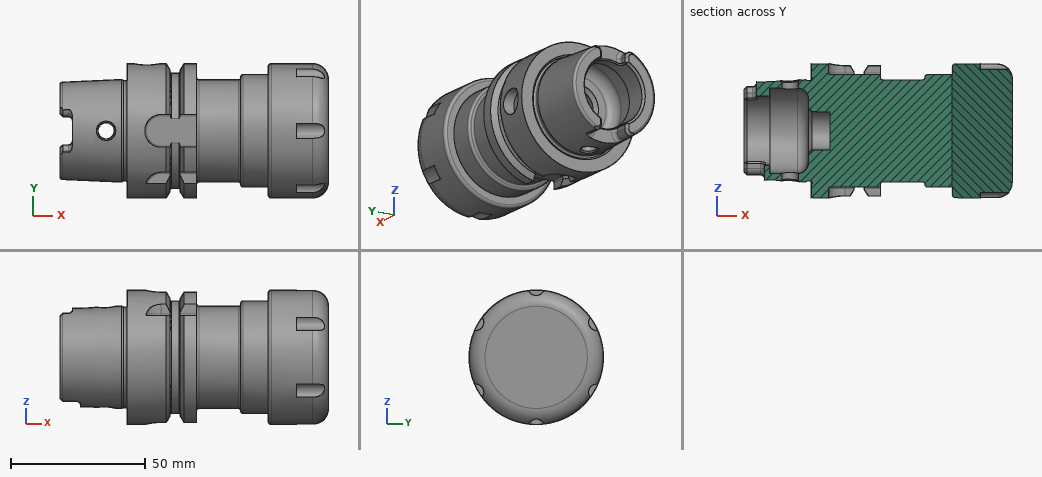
import cadquery as cq
import math

overall_length = 99.9
outer_radius = 50.0 / 2

shank_length = 25.0
shank_end_radius = 18.1
taper_slope = 0.045
shank_end_fillet = 1.0
relief_start = 23.0
relief_shoulder = 0.6
relief_radius = 18.8
undercut_radius = 0.8
undercut_depth = 0.4
undercut_width = 1.4

groove_center = 42.9
groove_width = 3.7
groove_radius = 21.5
groove_fillet = 0.5
groove_wall_radius = 22.7
groove_flank = 1.5
flange_end = 50.8

neck_radius = 19.1
neck_fillet = 0.8
collar_start = 67.2
collar_radius = 21.0
collar_fillet = 0.9

nut_start = 77.4
nut_rear_fillet = 1.2
nut_front_fillet = 6.0
nut_slot_count = 6
nut_slot_start = 87.9
nut_slot_radius = 3.0
nut_slot_floor_radius = 23.0

bore_radius = 12.8
bore_depth = 24.0
recess_start = 9.7
recess_radius = 15.8
bore_floor_fillet = 4.0
bore_mouth_widening = 0.8
bore_mouth_length = 1.1
bore_edge_chamfer = 0.5
center_hole_radius = 7.0
center_hole_chamfer = 1.4
center_hole_depth = 8.0

drive_slot_half_width = 5.2
drive_slot_flare_height = 14.0
drive_slot_flare_radius = 2.4
drive_slot_mouth_chamfer = 1.1
drive_slot_floor_fillet = 1.5
upper_drive_slot_depth = 4.6
lower_drive_slot_depth = 7.6

cross_hole_position = 17.2
cross_hole_radius = 3.0
cross_hole_chamfer = 0.6

floor_fillet = 0.5
key_slot_half_width = 6.1
key_slot_floor = 21.0
round_end_center = 37.7
notch_wall_y = -15.4
notch_floor_z = 15.6
notch_end_radius = 6.0
chip_hole_position = 32.4
chip_hole_radius = 5.0
chip_hole_depth = 4.6

tolerance = 0.01

half_turn = ((0, 0, 0), (1, 0, 0), 180)


def shank_radius(x):
    return shank_end_radius + taper_slope * x


def holder_blank():
    """Outside of the holder, without its bore and cuts."""
    relief_bottom = relief_start + relief_shoulder
    undercut_end = shank_length + undercut_depth
    groove_start = groove_center - groove_width / 2
    groove_end = groove_center + groove_width / 2
    profile = (
        cq.Workplane("XY")
        .lineTo(0, shank_end_radius)
        .lineTo(relief_start, shank_radius(relief_start))
        .lineTo(relief_bottom, relief_radius)
        .lineTo(undercut_end - undercut_radius, relief_radius)
        .radiusArc((undercut_end, relief_radius + undercut_radius), -undercut_radius)
        .lineTo(shank_length, relief_radius + undercut_width)
        .lineTo(shank_length, outer_radius)
        .lineTo(groove_start - groove_flank, outer_radius)
        .lineTo(groove_start, groove_wall_radius)
        .lineTo(groove_start, groove_radius)
        .lineTo(groove_end, groove_radius)
        .lineTo(groove_end, groove_wall_radius)
        .lineTo(groove_end + groove_flank, outer_radius)
        .lineTo(flange_end, outer_radius)
        .lineTo(flange_end, neck_radius)
        .lineTo(collar_start, neck_radius)
        .lineTo(collar_start, collar_radius)
        .lineTo(nut_start, collar_radius)
        .lineTo(nut_start, 0)
        .close()
    )
    blank = profile.revolve(360, (0, 0, 0), (1, 0, 0))
    rounded_rings = [
        (0, shank_end_radius, shank_end_fillet),
        (groove_start, groove_radius, groove_fillet),
        (groove_end, groove_radius, groove_fillet),
        (flange_end, neck_radius, neck_fillet),
        (collar_start, neck_radius, neck_fillet),
        (collar_start, collar_radius, collar_fillet),
    ]
    for x, radius, fillet in rounded_rings:
        ring = blank.edges().filter(lambda edge: is_ring(edge, x, radius))
        blank = ring.fillet(fillet)
    return blank


def is_ring(edge, x, radius):
    """True for the circular edge of this radius around the tool axis at x."""
    return (
        edge.geomType() == "CIRCLE"
        and abs(edge.Center().x - x) < tolerance
        and abs(edge.radius() - radius) < tolerance
    )


def shank_bore():
    """Bore with a wider clamping recess behind its mouth and a countersunk hole in its floor."""
    mouth = cq.Workplane("YZ").circle(bore_radius).extrude(recess_start)
    recess = (
        cq.Workplane("YZ", origin=(recess_start, 0, 0))
        .circle(recess_radius)
        .extrude(bore_depth - recess_start)
    )
    recess = recess.faces(">X").edges().fillet(bore_floor_fillet)
    hole = (
        cq.Workplane("YZ", origin=(bore_depth, 0, 0))
        .circle(center_hole_radius)
        .extrude(center_hole_depth)
    )
    hole_mouth = countersink(
        bore_depth,
        center_hole_radius + center_hole_chamfer,
        center_hole_radius,
        center_hole_chamfer,
    )
    return mouth.union(recess).union(hole).union(hole_mouth)


def countersink(x, start_radius, end_radius, length):
    """Cone around the tool axis that starts at x and narrows along +X."""
    solid = cq.Solid.makeCone(start_radius, end_radius, length, cq.Vector(x, 0, 0), cq.Vector(1, 0, 0))
    return cq.Workplane(solid)


def drive_slot_outline(x, widening):
    """Slot outline across the shank: straight walls that flare outwards in arcs."""
    half_width = drive_slot_half_width + widening
    flare = drive_slot_flare_radius - widening
    flare_end = half_width + flare
    diagonal = flare * math.sqrt(0.5)
    arc_y = flare_end - diagonal
    arc_z = drive_slot_flare_height + diagonal
    shoulder = drive_slot_flare_height + flare
    return (
        cq.Workplane("YZ", origin=(x, 0, 0))
        .moveTo(-half_width, 0)
        .lineTo(half_width, 0)
        .lineTo(half_width, drive_slot_flare_height)
        .threePointArc((arc_y, arc_z), (flare_end, shoulder))
        .lineTo(outer_radius, shoulder)
        .lineTo(outer_radius, outer_radius)
        .lineTo(-outer_radius, outer_radius)
        .lineTo(-outer_radius, shoulder)
        .lineTo(-flare_end, shoulder)
        .threePointArc((-arc_y, arc_z), (-half_width, drive_slot_flare_height))
        .close()
    )


def drive_slot(depth):
    """Slot through the upper shank wall, with a rounded floor corner and a chamfered mouth."""
    shoulder = drive_slot_flare_height + drive_slot_flare_radius
    slot = drive_slot_outline(0, 0).extrude(depth)
    floor_corner = slot.faces(">X").edges().filter(
        lambda edge: tolerance < edge.Center().z < shoulder + tolerance
    )
    slot = floor_corner.fillet(drive_slot_floor_fillet)
    mouth_wire = drive_slot_outline(0, drive_slot_mouth_chamfer).val()
    throat_wire = drive_slot_outline(drive_slot_mouth_chamfer, 0).val()
    mouth = cq.Solid.makeLoft([mouth_wire, throat_wire], True)
    return slot.union(cq.Workplane(mouth))


def cross_hole():
    """Hole along Z through both shank walls."""
    return (
        cq.Workplane("XY", origin=(cross_hole_position, 0, -outer_radius))
        .circle(cross_hole_radius)
        .extrude(2 * outer_radius)
    )


def key_slot():
    """Round-ended slot with a flat floor across the flange, open at the flange end."""
    run = flange_end - round_end_center
    slot = (
        cq.Workplane("XY", origin=(round_end_center, 0, key_slot_floor))
        .moveTo(0, -key_slot_half_width)
        .lineTo(run, -key_slot_half_width)
        .lineTo(run, key_slot_half_width)
        .lineTo(0, key_slot_half_width)
        .threePointArc((-key_slot_half_width, 0), (0, -key_slot_half_width))
        .close()
        .extrude(outer_radius)
    )
    return slot.faces("<Z").edges("not >X").fillet(floor_fillet)


def edge_notch():
    """Round-ended step cut along the flange rim, open at the flange end."""
    run = flange_end - round_end_center
    notch = (
        cq.Workplane("XY", origin=(round_end_center, notch_wall_y, notch_floor_z))
        .lineTo(run, 0)
        .lineTo(run, -2 * notch_end_radius)
        .lineTo(0, -2 * notch_end_radius)
        .threePointArc((-notch_end_radius, -notch_end_radius), (0, 0))
        .close()
        .extrude(outer_radius)
    )
    return notch.faces("<Z").edges("not >X").fillet(floor_fillet)


def chip_hole():
    """Round blind hole in the +Y side of the flange."""
    return (
        cq.Workplane("XZ", origin=(chip_hole_position, outer_radius, 0))
        .circle(chip_hole_radius)
        .extrude(chip_hole_depth)
    )


def edge_points(edge):
    return [edge.positionAt(fraction) for fraction in (0, 0.25, 0.5, 0.75)]


def is_slot_bore_edge(edge):
    """True for the edges along which the drive slots meet the bore."""
    on_bore = all(
        abs(math.hypot(point.y, point.z) - bore_radius) < tolerance for point in edge_points(edge)
    )
    return on_bore and tolerance < edge.Center().x < recess_start - tolerance


def is_cross_hole_mouth(edge):
    """True for the edges along which the cross hole meets the outside of the shank."""
    return all(
        abs(math.hypot(point.x - cross_hole_position, point.y) - cross_hole_radius) < tolerance
        and abs(point.z) > recess_radius + tolerance
        for point in edge_points(edge)
    )


def make_shank():
    """Holder with its bore, drive slots and cross hole, and their broken edges."""
    shank = (
        holder_blank()
        .cut(shank_bore())
        .cut(drive_slot(upper_drive_slot_depth))
        .cut(drive_slot(lower_drive_slot_depth).rotate(*half_turn))
    )
    shank = shank.edges().filter(is_slot_bore_edge).chamfer(bore_edge_chamfer)
    mouth = countersink(0, bore_radius + bore_mouth_widening, bore_radius, bore_mouth_length)
    shank = shank.cut(mouth).cut(cross_hole())
    return shank.edges().filter(is_cross_hole_mouth).chamfer(cross_hole_chamfer)


def make_holder():
    return (
        make_shank()
        .cut(key_slot())
        .cut(key_slot().rotate(*half_turn))
        .cut(edge_notch())
        .cut(chip_hole())
    )


def nut_slot(angle):
    """Spanner slot with a round floor, turned about the tool axis from the +Z side."""
    slot_center = nut_slot_floor_radius + nut_slot_radius
    return (
        cq.Workplane("YZ", origin=(nut_slot_start, 0, 0))
        .center(0, slot_center)
        .circle(nut_slot_radius)
        .extrude(overall_length - nut_slot_start)
        .rotate((0, 0, 0), (1, 0, 0), angle)
    )


def make_nut():
    nut = (
        cq.Workplane("YZ", origin=(nut_start, 0, 0))
        .circle(outer_radius)
        .extrude(overall_length - nut_start)
    )
    nut = nut.faces("<X").edges().fillet(nut_rear_fillet)
    nut = nut.faces(">X").edges().fillet(nut_front_fillet)
    for index in range(nut_slot_count):
        nut = nut.cut(nut_slot(index * 360 / nut_slot_count))
    return nut


holder = make_holder()
nut = make_nut()
result = cq.Compound.makeCompound([holder.val(), nut.val()])